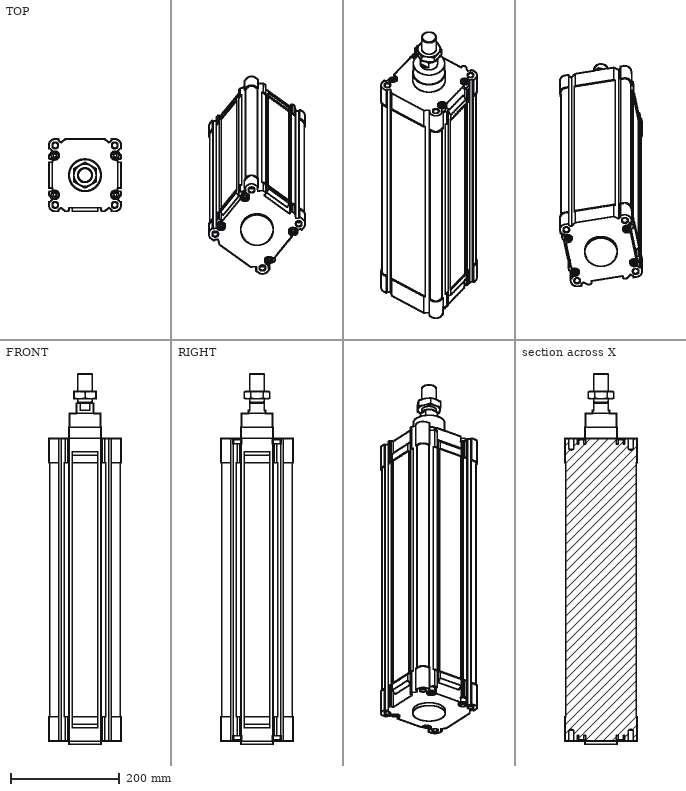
import cadquery as cq
import math

COVER_WIDTH = 134.0
TUBE_WIDTH = 130.5
BARREL_LENGTH = 560.0
COVER_LENGTH = 45.5
HALF_COVER = COVER_WIDTH / 2

BOLT_OFFSET = 55.0
GROOVE_OUTER = 48.7
GROOVE_ROOT = 44.3
GROOVE_INNER = 36.4
GROOVE_DEPTH = 6.5
GROOVE_RIM = 3.0

CHANNEL_HALF_WIDTH = 29.5
CHANNEL_DEPTH = 6.5
CHANNEL_LIP = 2.0
PANEL_HALF_WIDTH = 24.0
PANEL_END_INSET = 24.6

BOLT_HOLE_DIAMETER = 10.11
BOLT_HOLE_MOUTH = 12.0
BOLT_HOLE_DEPTH = 20.0
DRILL_POINT_ANGLE = 118.0

SCREW_X = 56.0
SCREW_Y = 36.3
SCREW_HEAD_DIAMETER = 13.0
SCREW_HEAD_HEIGHT = 8.0
SCREW_SOCKET_WIDTH = 6.0
SCREW_SOCKET_DEPTH = 4.0
SCREW_POCKET_DIAMETER = 16.5
SCREW_POCKET_DEPTH = 10.5

SPIGOT_DIAMETER = 60.0
SPIGOT_HEIGHT = 6.0
COLLAR_BASE_HEIGHT = 20.5
COLLAR_TOP_DIAMETER = 58.0
COLLAR_HEIGHT = 46.0

ROD_DIAMETER = 32.0
SHOULDER_HEIGHT = 65.0
ROD_SHOULDER = BARREL_LENGTH + SHOULDER_HEIGHT
ROD_BOTTOM = BARREL_LENGTH - COVER_LENGTH
FLATS_WIDTH = 27.0
FLATS_LENGTH = 13.5
THREAD_DIAMETER = 27.0
THREAD_LENGTH = 54.0
THREAD_ROOT_DIAMETER = 24.84
THREAD_RELIEF_LENGTH = 2.0

NUT_WIDTH = 41.0
NUT_HEIGHT = 13.5
NUT_TO_SHOULDER = 8.0
NUT_CHAMFER_ANGLE = 20.0


def prism(points, bottom, height):
    return cq.Workplane("XY").workplane(offset=bottom).polyline(points).close().extrude(height)


def cylinder(diameter, bottom, height):
    return cq.Workplane("XY").workplane(offset=bottom).circle(diameter / 2).extrude(height)


def turned(body, turns):
    """Turn a body about Z by a number of quarter turns."""
    return body.rotate((0, 0, 0), (0, 0, 1), 90 * turns)


def rounded_bar(width, bottom, height):
    """Square bar whose rounded corners are concentric with the corner bolts."""
    bar = cq.Workplane("XY").workplane(offset=bottom).rect(width, width).extrude(height)
    return bar.edges("|Z").fillet(width / 2 - BOLT_OFFSET)


def groove_cutter():
    """V groove on the -Y side, right of the centre, with a square rim next to the lobe."""
    root = -HALF_COVER + GROOVE_DEPTH
    points = [
        (GROOVE_INNER, -HALF_COVER),
        (GROOVE_ROOT, root),
        (GROOVE_OUTER, -HALF_COVER + GROOVE_RIM),
        (GROOVE_OUTER, -HALF_COVER),
    ]
    return prism(points, 0, BARREL_LENGTH)


def channel_cutter():
    """Channel on the -Y side with lipped edges, leaving the bevel-ended panel standing."""
    floor = -HALF_COVER + CHANNEL_DEPTH
    lip = CHANNEL_HALF_WIDTH + CHANNEL_LIP
    channel = prism(
        [
            (-lip, -HALF_COVER),
            (-CHANNEL_HALF_WIDTH, -HALF_COVER + CHANNEL_LIP),
            (-CHANNEL_HALF_WIDTH, floor),
            (CHANNEL_HALF_WIDTH, floor),
            (CHANNEL_HALF_WIDTH, -HALF_COVER + CHANNEL_LIP),
            (lip, -HALF_COVER),
        ],
        0,
        BARREL_LENGTH,
    )
    low = PANEL_END_INSET
    high = BARREL_LENGTH - PANEL_END_INSET
    panel = (
        cq.Workplane("YZ")
        .polyline(
            [
                (floor, low),
                (-HALF_COVER, low + CHANNEL_DEPTH),
                (-HALF_COVER, high - CHANNEL_DEPTH),
                (floor, high),
            ]
        )
        .close()
        .extrude(PANEL_HALF_WIDTH, both=True)
    )
    return channel.cut(panel)


def bolt_hole():
    """Countersunk hole with a drill point, its mouth at the origin."""
    radius = BOLT_HOLE_DIAMETER / 2
    mouth = BOLT_HOLE_MOUTH / 2
    tip = radius / math.tan(math.radians(DRILL_POINT_ANGLE / 2))
    return (
        cq.Workplane("XZ")
        .polyline(
            [
                (0, 0),
                (mouth, 0),
                (radius, radius - mouth),
                (radius, -BOLT_HOLE_DEPTH),
                (0, -BOLT_HOLE_DEPTH - tip),
            ]
        )
        .close()
        .revolve(360, (0, 0, 0), (0, 1, 0))
    )


def screw_pocket():
    """U-shaped pocket sunk below Z = 0, running out towards +X."""
    pocket = cylinder(SCREW_POCKET_DIAMETER, -SCREW_POCKET_DEPTH, SCREW_POCKET_DEPTH)
    run_out = cq.Workplane("XY").box(
        HALF_COVER - SCREW_X,
        SCREW_POCKET_DIAMETER,
        SCREW_POCKET_DEPTH,
        centered=(False, True, False),
    )
    return pocket.union(run_out.translate((0, 0, -SCREW_POCKET_DEPTH)))


def screw_head():
    """Socket head standing on the pocket floor, with its top below Z = 0."""
    head = cylinder(SCREW_HEAD_DIAMETER, -SCREW_POCKET_DEPTH, SCREW_HEAD_HEIGHT)
    socket = (
        cq.Workplane("XY")
        .workplane(offset=SCREW_HEAD_HEIGHT - SCREW_POCKET_DEPTH - SCREW_SOCKET_DEPTH)
        .polygon(6, SCREW_SOCKET_WIDTH, circumscribed=True)
        .extrude(SCREW_SOCKET_DEPTH)
    )
    return head.cut(socket)


def at_both_ends(tool, x, y):
    """Copies of a shape on the front face and, mirrored, on the rear face."""
    front = tool.translate((x, y, BARREL_LENGTH))
    rear = tool.mirror("XY").translate((x, y, 0))
    return front, rear


def make_housing():
    tube_length = BARREL_LENGTH - 2 * COVER_LENGTH
    housing = rounded_bar(TUBE_WIDTH, COVER_LENGTH, tube_length)
    for bottom in (0, BARREL_LENGTH - COVER_LENGTH):
        housing = housing.union(rounded_bar(COVER_WIDTH, bottom, COVER_LENGTH))

    for turns in range(4):
        housing = housing.cut(turned(groove_cutter(), turns))
        housing = housing.cut(turned(groove_cutter().mirror("YZ"), turns))
    for turns in (-1, 0, 1):
        housing = housing.cut(turned(channel_cutter(), turns))

    for x_sign in (-1, 1):
        facing = 90 - 90 * x_sign
        pocket = screw_pocket().rotate((0, 0, 0), (0, 0, 1), facing)
        for y_sign in (-1, 1):
            for hole in at_both_ends(bolt_hole(), x_sign * BOLT_OFFSET, y_sign * BOLT_OFFSET):
                housing = housing.cut(hole)
            for hole in at_both_ends(pocket, x_sign * SCREW_X, y_sign * SCREW_Y):
                housing = housing.cut(hole)
            for screw in at_both_ends(screw_head(), x_sign * SCREW_X, y_sign * SCREW_Y):
                housing = housing.union(screw)

    housing = housing.union(cylinder(SPIGOT_DIAMETER, -SPIGOT_HEIGHT, SPIGOT_HEIGHT))
    housing = housing.union(cylinder(SPIGOT_DIAMETER, BARREL_LENGTH, COLLAR_BASE_HEIGHT))
    housing = housing.union(cylinder(COLLAR_TOP_DIAMETER, BARREL_LENGTH, COLLAR_HEIGHT))
    return housing.cut(cylinder(ROD_DIAMETER, ROD_BOTTOM, ROD_SHOULDER - ROD_BOTTOM))


def make_rod():
    rod = cylinder(ROD_DIAMETER, ROD_BOTTOM, ROD_SHOULDER - ROD_BOTTOM)
    flats = (
        cq.Workplane("XY")
        .workplane(offset=ROD_SHOULDER - FLATS_LENGTH)
        .rect(2 * ROD_DIAMETER, 2 * ROD_DIAMETER)
        .rect(2 * ROD_DIAMETER, FLATS_WIDTH)
        .extrude(FLATS_LENGTH)
    )
    thread_chamfer = (THREAD_DIAMETER - THREAD_ROOT_DIAMETER) / 2
    relief = cylinder(THREAD_ROOT_DIAMETER, ROD_SHOULDER, THREAD_RELIEF_LENGTH)
    thread = cylinder(
        THREAD_DIAMETER,
        ROD_SHOULDER + THREAD_RELIEF_LENGTH,
        THREAD_LENGTH - THREAD_RELIEF_LENGTH,
    )
    return rod.cut(flats).union(relief).union(thread.faces(">Z").chamfer(thread_chamfer))


def make_nut():
    """Hexagon nut with two corners on the Y axis and chamfered corners at both ends."""
    bottom = ROD_SHOULDER + NUT_TO_SHOULDER
    corner = NUT_WIDTH / math.sqrt(3)
    hexagon = (
        cq.Workplane("XY")
        .workplane(offset=bottom)
        .polygon(6, NUT_WIDTH, circumscribed=True)
        .extrude(NUT_HEIGHT)
    )
    face_radius = NUT_WIDTH / 2
    drop = (corner - face_radius) * math.tan(math.radians(NUT_CHAMFER_ANGLE))
    chamfer_envelope = (
        cq.Workplane("XZ")
        .polyline(
            [
                (0, bottom),
                (face_radius, bottom),
                (corner, bottom + drop),
                (corner, bottom + NUT_HEIGHT - drop),
                (face_radius, bottom + NUT_HEIGHT),
                (0, bottom + NUT_HEIGHT),
            ]
        )
        .close()
        .revolve(360, (0, 0, 0), (0, 1, 0))
    )
    return hexagon.intersect(chamfer_envelope).cut(cylinder(THREAD_DIAMETER, bottom, NUT_HEIGHT))


housing = make_housing()
rod = make_rod()
nut = make_nut()
result = cq.Compound.makeCompound([housing.val(), rod.val(), nut.val()])